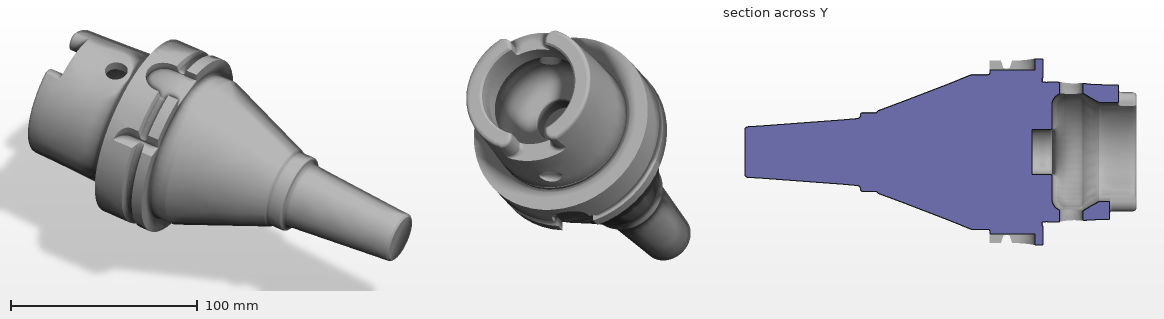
import cadquery as cq
import math

LENGTH = 210.0

SHANK_END_R = 35.7
SHANK_BASE_R = 37.8
SHANK_EDGE_FILLET = 1.9
RELIEF_START = 47.7
RELIEF_END = 48.7
RELIEF_DEPTH = 0.5

FLANGE_START = 50.0
FLANGE_END = 78.8
FLANGE_R = 50.0
FACE_RECESS_R = 39.5
FACE_RECESS_DEPTH = 0.6
GROOVE_START = 66.5
GROOVE_END = 72.7
GROOVE_FLOOR_R = 45.8
GROOVE_WALL_WIDTH = 1.3
GROOVE_CORNER_WIDTH = 1.0
GROOVE_CORNER_HEIGHT = 0.6
GROOVE_CORNER_R = 1.3

BODY_R = 41.5
BODY_FILLET = 1.0
BODY_CONE_START = 88.6
BODY_CONE_END = 138.5
BODY_CONE_END_R = 22.3
COLLAR_R = 21.2
COLLAR_START = 139.6
COLLAR_SHOULDER = 148.0
COLLAR_FILLET = 1.0
NECK_R = 18.0
NECK_FILLET = 1.9
NOSE_R = 13.6
NOSE_CHAMFER = 1.0

BORE_R = 26.5
BORE_CHAMFER = 1.0
BORE_STRAIGHT = 20.2
CLAMP_CONE_ANGLE = 30.0
UNDERCUT_R = 31.5
UNDERCUT_END = 38.8
UNDERCUT_FILLET = 6.5
PILOT_R = 12.0
PILOT_CHAMFER = 0.6
PILOT_DEPTH = 10.5

SLOT_HALF_WIDTH = 9.7
SLOT_LUG_TOP = 32.0
SLOT_LUG_ROUND = 5.2
SLOT_DEPTH_TOP = 9.7
SLOT_DEPTH_BOTTOM = 14.5
SLOT_FLOOR_FILLET = 1.7

CROSS_HOLE_X = 35.0
CROSS_HOLE_D = 12.2

NOTCH_START = 54.5
NOTCH_WIDTH = 20.0
NOTCH_FLOOR = 44.0
CODING_START = 55.0
CODING_FLOOR_Z = 31.5
CODING_WALL_Y = -32.0
CODING_CORNER_R = 7.8

CLEAR = 84.0


def revolve_about_x(profile):
    return profile.close().revolve(360, (0, 0, 0), (1, 0, 0))


def make_body():
    floor_inset = GROOVE_WALL_WIDTH + GROOVE_CORNER_WIDTH
    corner_r = GROOVE_FLOOR_R + GROOVE_CORNER_HEIGHT
    profile = (
        cq.Workplane("XY")
        .lineTo(0, SHANK_END_R - SHANK_EDGE_FILLET)
        .radiusArc((SHANK_EDGE_FILLET, SHANK_END_R), SHANK_EDGE_FILLET)
        .lineTo(RELIEF_START, SHANK_BASE_R)
        .lineTo(RELIEF_START + RELIEF_DEPTH, SHANK_BASE_R - RELIEF_DEPTH)
        .lineTo(RELIEF_END, SHANK_BASE_R - RELIEF_DEPTH)
        .lineTo(RELIEF_END, SHANK_BASE_R)
        .lineTo(FLANGE_START + FACE_RECESS_DEPTH, SHANK_BASE_R)
        .lineTo(FLANGE_START + FACE_RECESS_DEPTH, FACE_RECESS_R)
        .lineTo(FLANGE_START, FACE_RECESS_R)
        .lineTo(FLANGE_START, FLANGE_R)
        .lineTo(GROOVE_START, FLANGE_R)
        .lineTo(GROOVE_START + GROOVE_WALL_WIDTH, corner_r)
        .radiusArc((GROOVE_START + floor_inset, GROOVE_FLOOR_R), -GROOVE_CORNER_R)
        .lineTo(GROOVE_END - floor_inset, GROOVE_FLOOR_R)
        .radiusArc((GROOVE_END - GROOVE_WALL_WIDTH, corner_r), -GROOVE_CORNER_R)
        .lineTo(GROOVE_END, FLANGE_R)
        .lineTo(FLANGE_END, FLANGE_R)
        .lineTo(FLANGE_END, BODY_R + BODY_FILLET)
        .radiusArc((FLANGE_END + BODY_FILLET, BODY_R), -BODY_FILLET)
        .lineTo(BODY_CONE_START, BODY_R)
        .lineTo(BODY_CONE_END, BODY_CONE_END_R)
        .lineTo(COLLAR_START, COLLAR_R)
        .lineTo(COLLAR_SHOULDER - COLLAR_FILLET, COLLAR_R)
        .radiusArc((COLLAR_SHOULDER, COLLAR_R - COLLAR_FILLET), COLLAR_FILLET)
        .lineTo(COLLAR_SHOULDER, NECK_R + NECK_FILLET)
        .radiusArc((COLLAR_SHOULDER + NECK_FILLET, NECK_R), -NECK_FILLET)
        .lineTo(LENGTH - NOSE_CHAMFER, NOSE_R)
        .lineTo(LENGTH, NOSE_R - NOSE_CHAMFER)
        .lineTo(LENGTH, 0)
    )
    return revolve_about_x(profile)


def make_bore():
    """Bore with a conical clamping shoulder, an undercut and a pilot hole in its floor."""
    cone_length = (UNDERCUT_R - BORE_R) / math.tan(math.radians(CLAMP_CONE_ANGLE))
    floor_x = UNDERCUT_END + UNDERCUT_FILLET
    profile = (
        cq.Workplane("XY")
        .lineTo(0, BORE_R + BORE_CHAMFER)
        .lineTo(BORE_CHAMFER, BORE_R)
        .lineTo(BORE_STRAIGHT, BORE_R)
        .lineTo(BORE_STRAIGHT + cone_length, UNDERCUT_R)
        .lineTo(UNDERCUT_END, UNDERCUT_R)
        .radiusArc((floor_x, UNDERCUT_R - UNDERCUT_FILLET), UNDERCUT_FILLET)
        .lineTo(floor_x, PILOT_R + PILOT_CHAMFER)
        .lineTo(floor_x + PILOT_CHAMFER, PILOT_R)
        .lineTo(floor_x + PILOT_DEPTH, PILOT_R)
        .lineTo(floor_x + PILOT_DEPTH, 0)
    )
    return revolve_about_x(profile)


def make_lug(depth):
    """Lug beside a drive slot, on the +Y side, with every edge of its end face rounded."""
    return (
        cq.Workplane("YZ")
        .moveTo(SLOT_HALF_WIDTH, -CLEAR)
        .lineTo(SLOT_HALF_WIDTH, SLOT_LUG_TOP - SLOT_LUG_ROUND)
        .radiusArc((SLOT_HALF_WIDTH + SLOT_LUG_ROUND, SLOT_LUG_TOP), SLOT_LUG_ROUND)
        .lineTo(2 * CLEAR, SLOT_LUG_TOP)
        .lineTo(2 * CLEAR, -CLEAR)
        .close()
        .extrude(depth)
        .faces("<X")
        .edges()
        .fillet(SHANK_EDGE_FILLET)
    )


def make_drive_slot(depth):
    """Slot on the +Z side whose mouth flares over the rounded lugs."""
    lug = make_lug(depth)
    block = cq.Workplane("XY").box(depth, 2 * CLEAR, CLEAR, centered=(False, True, False))
    slot = block.cut(lug).cut(lug.mirror("XZ"))
    return slot.faces(">X").edges("not <Z").fillet(SLOT_FLOOR_FILLET)


def make_grip_notch():
    """Round-ended notch on the +Z side, open toward the nose."""
    radius = NOTCH_WIDTH / 2
    center_x = NOTCH_START + radius
    length = FLANGE_END - center_x
    plane = cq.Workplane("XY", origin=(0, 0, NOTCH_FLOOR))
    rounded_end = plane.center(center_x, 0).circle(radius).extrude(CLEAR)
    straight = plane.center(center_x + length / 2, 0).rect(length, NOTCH_WIDTH).extrude(CLEAR)
    return rounded_end.union(straight)


def make_coding_notch():
    """L-shaped step between the +Z and -Y sides of the flange."""
    return (
        cq.Workplane("XY", origin=(0, 0, CODING_FLOOR_Z))
        .moveTo(CODING_START, -CLEAR)
        .lineTo(CODING_START, CODING_WALL_Y - CODING_CORNER_R)
        .radiusArc((CODING_START + CODING_CORNER_R, CODING_WALL_Y), CODING_CORNER_R)
        .lineTo(FLANGE_END, CODING_WALL_Y)
        .lineTo(FLANGE_END, -CLEAR)
        .close()
        .extrude(CLEAR)
    )


def turn_to_bottom(shape):
    return shape.rotate((0, 0, 0), (1, 0, 0), 180)


part = make_body().cut(make_bore())
part = part.cut(make_drive_slot(SLOT_DEPTH_TOP))
part = part.cut(turn_to_bottom(make_drive_slot(SLOT_DEPTH_BOTTOM)))

cross_hole = cq.Workplane("XY").center(CROSS_HOLE_X, 0).circle(CROSS_HOLE_D / 2).extrude(CLEAR, both=True)
part = part.cut(cross_hole)
part = part.cut(make_grip_notch())
part = part.cut(turn_to_bottom(make_grip_notch()))
part = part.cut(make_coding_notch())

result = part